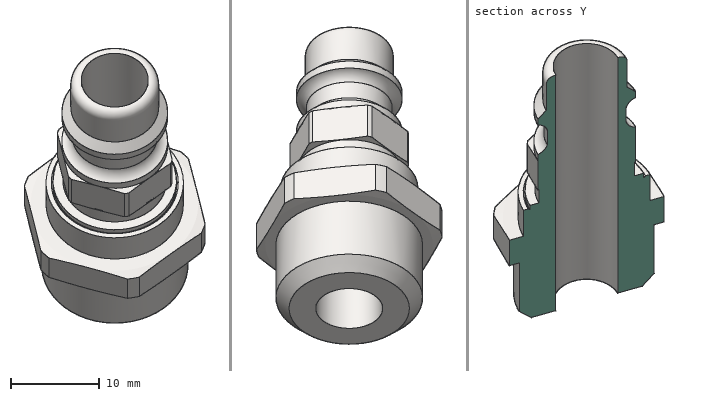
import cadquery as cq
import math

bore_dia = 7.6
base_dia = 16.65
collar_dia = 15.6
insert_dia = 14.0
neck_dia = 11.8
flange_dia = 12.0
groove_dia = 9.75
tip_dia = 10.0

nut_bottom_z = 8.98
nut_top_z = 13.0
collar_top_z = 17.0
insert_top_z = 17.5
small_hex_bottom_z = 19.45
small_hex_top_z = 24.0
lower_flange_top_z = 25.0
upper_flange_bottom_z = 29.5
upper_flange_top_z = 30.48
total_height = 36.5

base_chamfer = 1.5
tip_fillet = 1.0
groove_flare_sweep = math.radians(60)

nut_flats = 19.0
nut_corner_dia = 21.2
nut_bevel = 0.2
small_hex_flats = flange_dia
small_hex_corner_dia = 13.58
small_hex_bevel = 0.09

seam_bottom_dia = 14.1
seam_top_dia = 14.4
seam_depth = (seam_top_dia - seam_bottom_dia) / 2


def turned_body():
    """Solid of revolution holding every round outer surface."""
    base_r = base_dia / 2
    collar_r = collar_dia / 2
    insert_r = insert_dia / 2
    neck_r = neck_dia / 2
    flange_r = flange_dia / 2
    groove_r = groove_dia / 2
    tip_r = tip_dia / 2
    flare = flange_r - groove_r
    sag = flare * math.sqrt(0.5) * math.tan(groove_flare_sweep / 4)
    arc_mid_r = flange_r - flare / 2 - sag * math.sqrt(0.5)
    arc_mid_rise = flare / 2 - sag * math.sqrt(0.5)
    groove_bottom_z = lower_flange_top_z + flare
    groove_top_z = upper_flange_bottom_z - flare
    cone_top_z = upper_flange_top_z + flange_r - tip_r

    profile = (
        cq.Workplane("XZ")
        .lineTo(base_r - base_chamfer, 0)
        .lineTo(base_r, base_chamfer)
        .lineTo(base_r, nut_top_z)
        .lineTo(collar_r, nut_top_z)
        .lineTo(collar_r, collar_top_z)
        .lineTo(seam_top_dia / 2, collar_top_z)
        .lineTo(seam_bottom_dia / 2, collar_top_z - seam_depth)
        .lineTo(insert_r, collar_top_z - seam_depth)
        .lineTo(insert_r, insert_top_z)
        .lineTo(neck_r, insert_top_z)
        .lineTo(neck_r, small_hex_bottom_z)
        .lineTo(flange_r, small_hex_bottom_z)
        .lineTo(flange_r, lower_flange_top_z)
        .threePointArc((arc_mid_r, lower_flange_top_z + arc_mid_rise), (groove_r, groove_bottom_z))
        .lineTo(groove_r, groove_top_z)
        .threePointArc((arc_mid_r, upper_flange_bottom_z - arc_mid_rise), (flange_r, upper_flange_bottom_z))
        .lineTo(flange_r, upper_flange_top_z)
        .lineTo(tip_r, cone_top_z)
        .lineTo(tip_r, total_height)
        .lineTo(0, total_height)
        .close()
    )
    body = profile.revolve(360, (0, 0, 0), (0, 1, 0))
    return body.faces(">Z").edges().fillet(tip_fillet)


def hexagon(flats, corner_dia, bottom_z, top_z, bevel):
    """Hexagon with turned corners and shallow conical bevels on both ends."""
    across_corners = flats / math.cos(math.pi / 6)
    prism = (
        cq.Workplane("XY", origin=(0, 0, bottom_z))
        .transformed(rotate=(0, 0, 30))
        .polygon(6, across_corners)
        .extrude(top_z - bottom_z)
    )
    envelope = (
        cq.Workplane("XZ")
        .moveTo(0, bottom_z)
        .lineTo(flats / 2, bottom_z)
        .lineTo(corner_dia / 2, bottom_z + bevel)
        .lineTo(corner_dia / 2, top_z - bevel)
        .lineTo(flats / 2, top_z)
        .lineTo(0, top_z)
        .close()
        .revolve(360, (0, 0, 0), (0, 1, 0))
    )
    return prism.intersect(envelope)


nut = hexagon(nut_flats, nut_corner_dia, nut_bottom_z, nut_top_z, nut_bevel)
small_hex = hexagon(
    small_hex_flats, small_hex_corner_dia, small_hex_bottom_z, small_hex_top_z, small_hex_bevel
)
bore = cq.Workplane("XY").circle(bore_dia / 2).extrude(total_height)

result = turned_body().union(nut).union(small_hex).cut(bore)